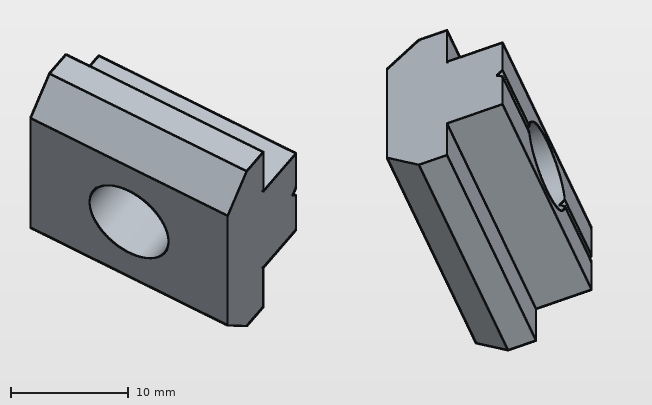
import cadquery as cq

length = 20.0
depth = 10.6
height = 20.1

flange_depth = 5.5
stem_height = 9.93
chamfer = 2.93

groove_depth = 0.5

bore_diameter = 8.0

front = -depth / 2
back = depth / 2
shoulder = front + flange_depth


def make_body():
    """T-nut body: a chamfered flange in front and a grooved stem behind."""
    upper_half = [
        (back - groove_depth, 0),
        (back, groove_depth),
        (back, stem_height / 2),
        (shoulder, stem_height / 2),
        (shoulder, height / 2),
        (front + chamfer, height / 2),
        (front, height / 2 - chamfer),
    ]
    lower_half = [(y, -z) for y, z in reversed(upper_half[1:])]
    profile = cq.Workplane("YZ").polyline(upper_half + lower_half).close()
    return profile.extrude(length / 2, both=True)


def make_bore():
    """Round cutter that passes through the full depth."""
    return cq.Workplane("XZ").circle(bore_diameter / 2).extrude(depth, both=True)


result = make_body().cut(make_bore())